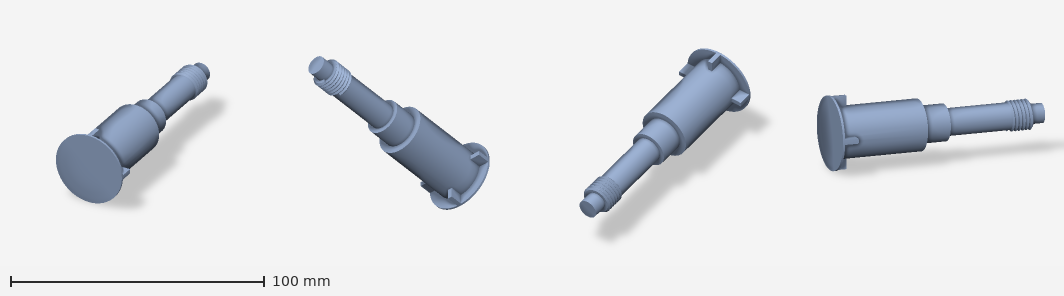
import cadquery as cq

total_length = 89.0

flange_diameter = 30.0
flange_thickness = 0.9
body_diameter = 21.0
body_end = 37.4
collar_diameter = 15.0
collar_end = 48.1
shank_diameter = 11.0
shank_end = 83.0
pin_diameter = 8.0

rib_width = 2.0
rib_end = 6.6

thread_pitch = 1.5
thread_turns = 6
thread_start = 74.3
thread_crest_radius = 6.2
thread_root_width = 1.4
thread_root_sink = 0.1
thread_base_width = 1.3
thread_base_depth = 1.3


def make_shaft():
    """Coaxial cylinders, each starting at the flange face and overlapping the next."""
    steps = [
        (flange_diameter, flange_thickness),
        (body_diameter, body_end),
        (collar_diameter, collar_end),
        (shank_diameter, shank_end),
        (pin_diameter, total_length),
    ]
    shaft = cq.Workplane("XY")
    for diameter, end in steps:
        shaft = shaft.union(cq.Workplane("XY").circle(diameter / 2).extrude(end))
    return shaft


def make_ribs():
    """Four ribs as two crossed bars, rounded off to the flange diameter."""
    bars = cq.Workplane("XY").rect(flange_diameter, rib_width).extrude(rib_end)
    bars = bars.union(cq.Workplane("XY").rect(rib_width, flange_diameter).extrude(rib_end))
    envelope = cq.Workplane("XY").circle(flange_diameter / 2).extrude(rib_end)
    return bars.intersect(envelope)


def make_thread():
    """Helical ridge whose base is sunk into the shank and shows at the run-out."""
    root_radius = shank_diameter / 2 - thread_root_sink
    base_radius = root_radius - thread_base_depth
    helix = cq.Wire.makeHelix(thread_pitch, thread_pitch * thread_turns, root_radius)
    profile = cq.Workplane("XZ").polyline([
        (base_radius, -thread_base_width / 2),
        (root_radius, -thread_root_width / 2),
        (thread_crest_radius, 0),
        (root_radius, thread_root_width / 2),
        (base_radius, thread_base_width / 2),
    ]).close()
    ridge = profile.sweep(cq.Workplane(obj=helix), isFrenet=True)
    return ridge.rotate((0, 0, 0), (0, 0, 1), 90).translate((0, 0, thread_start))


upright = make_shaft().union(make_ribs()).union(make_thread())
result = upright.rotate((0, 0, 0), (1, 0, 0), -90)